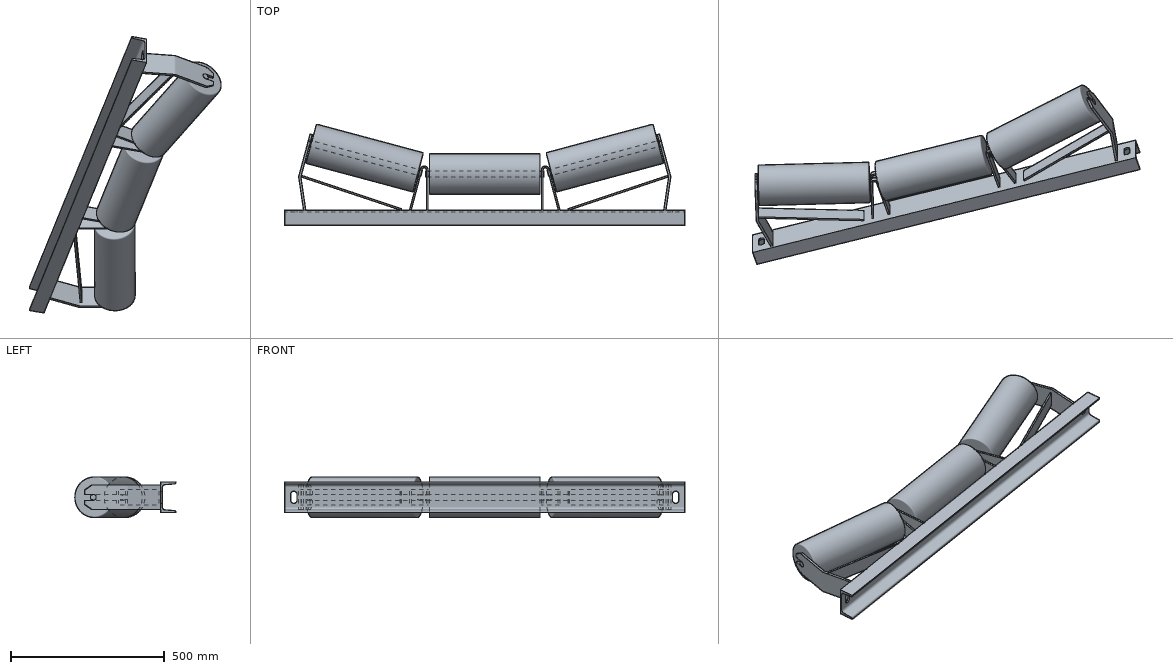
import cadquery as cq
import math


beam_length = 1300.0
beam_height = 100.0
flange_width = 50.0
web_thickness = 6.0
flange_mid_thickness = 8.5
flange_slope = 0.08
root_radius = 8.5
toe_radius = 4.5
mount_slot_length = 39.0
mount_slot_width = 20.0
mount_slot_inset = 30.0

roller_diameter = 133.0
roller_length = 360.0
roller_edge_radius = 4.0
shaft_diameter = 20.0
side_tilt = 15.0
middle_roller_y = 117.0
side_roller_x = 390.0
side_roller_y = 169.0

outer_thickness = 8.0
arch_thickness = 6.0
outer_width = 80.0
arch_width = 51.0
end_gap = 4.0
arch_bend_radius = 9.8
bend_y = 108.0
outer_bend_radius = 6.0
outer_foot_x = 585.0
tip_above_shaft = 30.0
tip_chamfer_width = 25.0
tip_chamfer_depth = 17.0

strut_thickness = 5.8
strut_width = arch_width
strut_foot_x = 272.0
strut_foot_lift = 2.0
strut_top_y = 112.0

arch_offset = roller_length / 2 + end_gap + arch_thickness / 2
outer_offset = roller_length / 2 + end_gap + outer_thickness / 2
shaft_length = roller_length + 2 * (end_gap + outer_thickness)

tilt = math.radians(side_tilt)
tilt_sin = math.sin(tilt)
tilt_cos = math.cos(tilt)


def point_on_side_axis(distance):
    """Point on the right roller's axis, measured outward from the roller's middle."""
    return (side_roller_x + distance * tilt_cos, side_roller_y + distance * tilt_sin)


def profile_plane(length):
    """YZ workplane from which an extrusion of the given length is centred on X = 0."""
    return cq.Workplane("YZ", origin=(-length / 2, 0, 0))


def plate_plane(width):
    """XY workplane from which an extrusion of the given width is centred on Z = 0."""
    return cq.Workplane("XY", origin=(0, 0, -width / 2))


def on_roller_axis(shape, side):
    """Moves a shape built along X at the origin onto a roller's axis: side -1, 0 or 1."""
    if side == 0:
        return shape.translate((0, middle_roller_y, 0))
    turned = shape.rotate((0, 0, 0), (0, 0, 1), side * side_tilt)
    return turned.translate((side * side_roller_x, side_roller_y, 0))


def make_roller(side):
    roller = profile_plane(roller_length).circle(roller_diameter / 2).extrude(roller_length)
    roller = roller.edges().fillet(roller_edge_radius)
    bore = profile_plane(roller_length).circle(shaft_diameter / 2).extrude(roller_length)
    return on_roller_axis(roller.cut(bore), side)


def make_shaft(side):
    shaft = profile_plane(shaft_length).circle(shaft_diameter / 2).extrude(shaft_length)
    return on_roller_axis(shaft, side)


def make_beam():
    half_height = beam_height / 2
    flange_run = flange_width - web_thickness
    root_thickness = flange_mid_thickness + flange_slope * flange_run / 2
    toe_thickness = flange_mid_thickness - flange_slope * flange_run / 2
    profile = [
        (0, -half_height),
        (-flange_width, -half_height),
        (-flange_width, toe_thickness - half_height),
        (-web_thickness, root_thickness - half_height),
        (-web_thickness, half_height - root_thickness),
        (-flange_width, half_height - toe_thickness),
        (-flange_width, half_height),
        (0, half_height),
    ]
    beam = profile_plane(beam_length).polyline(profile).close().extrude(beam_length)
    for z_side in (-1, 1):
        root = (0, -web_thickness, z_side * (half_height - root_thickness))
        toe = (0, -flange_width, z_side * (half_height - toe_thickness))
        for corner, radius in ((root, root_radius), (toe, toe_radius)):
            beam = beam.edges("|X").edges(cq.selectors.NearestToPointSelector(corner)).fillet(radius)
    mount_x = beam_length / 2 - mount_slot_inset
    mount_slots = (
        cq.Workplane("XZ")
        .pushPoints([(-mount_x, 0), (mount_x, 0)])
        .slot2D(mount_slot_length, mount_slot_width, 90)
        .extrude(web_thickness)
    )
    return beam.cut(mount_slots)


def make_shaft_slot(distance, depth):
    """Cutter along X for a slot with a round floor under the shaft, open towards +Y."""
    round_floor = profile_plane(depth).circle(shaft_diameter / 2).extrude(depth)
    opening = cq.Workplane("XY").box(
        depth, 2 * tip_above_shaft, shaft_diameter, centered=(True, False, True)
    )
    return round_floor.union(opening).translate((distance, 0, 0))


def make_arch_bracket():
    """Right inner bracket: a bar bent over between the middle and the right roller."""
    half_thickness = arch_thickness / 2
    axis_x, axis_y = point_on_side_axis(-arch_offset)
    tilted_foot_x = axis_x + axis_y * math.tan(tilt)
    bend_x = arch_offset + arch_bend_radius
    bend_centre_y = ((tilted_foot_x - bend_x) * tilt_cos - arch_bend_radius) / tilt_sin
    half_foot = half_thickness / tilt_cos
    top_angle = (math.pi + tilt) / 2

    def on_bend(radius, angle):
        return (bend_x + radius * math.cos(angle), bend_centre_y + radius * math.sin(angle))

    outside = arch_bend_radius + half_thickness
    inside = arch_bend_radius - half_thickness
    bracket = (
        plate_plane(arch_width)
        .moveTo(arch_offset - half_thickness, 0)
        .lineTo(*on_bend(outside, math.pi))
        .threePointArc(on_bend(outside, top_angle), on_bend(outside, tilt))
        .lineTo(tilted_foot_x + half_foot, 0)
        .lineTo(tilted_foot_x - half_foot, 0)
        .lineTo(*on_bend(inside, tilt))
        .threePointArc(on_bend(inside, top_angle), on_bend(inside, math.pi))
        .lineTo(arch_offset + half_thickness, 0)
        .close()
        .extrude(arch_width)
    )
    middle_slot = on_roller_axis(make_shaft_slot(arch_offset, 2 * arch_bend_radius), 0)
    side_slot = on_roller_axis(make_shaft_slot(-arch_offset, 2 * arch_bend_radius), 1)
    return bracket.cut(middle_slot).cut(side_slot)


def outer_bend_x():
    """X of the middle of the right outer bracket's bar at its bend."""
    axis_x, axis_y = point_on_side_axis(outer_offset)
    return axis_x + (axis_y - bend_y) * math.tan(tilt)


def make_outer_bracket():
    """Right outer bracket: a leg leaning outward, bent to stand square to the right roller."""
    bend_x = outer_bend_x()
    axis_x, axis_y = point_on_side_axis(outer_offset)
    tip_x = axis_x - tip_above_shaft * tilt_sin
    tip_y = axis_y + tip_above_shaft * tilt_cos
    half_thickness = outer_thickness / 2
    lean = math.atan2(bend_x - outer_foot_x, bend_y)
    half_foot = half_thickness / math.cos(lean)
    mitre_angle = (tilt - lean) / 2
    half_mitre = half_thickness / math.cos((tilt + lean) / 2)
    mitre_x = half_mitre * math.cos(mitre_angle)
    mitre_y = half_mitre * math.sin(mitre_angle)
    outline = [
        (outer_foot_x - half_foot, 0),
        (bend_x - mitre_x, bend_y - mitre_y),
        (tip_x - half_thickness * tilt_cos, tip_y - half_thickness * tilt_sin),
        (tip_x + half_thickness * tilt_cos, tip_y + half_thickness * tilt_sin),
        (bend_x + mitre_x, bend_y + mitre_y),
        (outer_foot_x + half_foot, 0),
    ]
    bracket = plate_plane(outer_width).polyline(outline).close().extrude(outer_width)
    for mitre_side, radius in ((-1, outer_bend_radius), (1, outer_bend_radius + outer_thickness)):
        corner = (bend_x + mitre_side * mitre_x, bend_y + mitre_side * mitre_y, 0)
        bracket = bracket.edges("|Z").edges(cq.selectors.NearestToPointSelector(corner)).fillet(radius)
    for z_side in (-1, 1):
        bracket = bracket.cut(make_tip_corner(z_side))
    return bracket.cut(on_roller_axis(make_shaft_slot(outer_offset, 2 * outer_thickness), 1))


def make_tip_corner(z_side):
    """Cutter for one sloped corner at the tip of the right outer bracket."""
    corner_z = z_side * outer_width / 2
    outline = [
        (tip_above_shaft, corner_z),
        (tip_above_shaft - tip_chamfer_width, corner_z),
        (tip_above_shaft, corner_z - z_side * tip_chamfer_depth),
    ]
    cut_depth = 2 * outer_thickness
    corner = profile_plane(cut_depth).polyline(outline).close().extrude(cut_depth)
    return on_roller_axis(corner.translate((outer_offset, 0, 0)), 1)


def make_strut():
    """Right strut: a square-ended flat bar from the outer bracket's bend down to the beam."""
    bend_x = outer_bend_x()
    run = bend_x - strut_foot_x
    climb = strut_top_y - strut_foot_lift
    strut = cq.Workplane("XY").box(
        math.hypot(run, climb), strut_thickness, strut_width, centered=(False, True, True)
    )
    strut = strut.rotate((0, 0, 0), (0, 0, 1), math.degrees(math.atan2(climb, run)))
    strut = strut.translate((strut_foot_x, strut_foot_lift, 0))
    below_beam_back = cq.Workplane("XY").box(
        beam_length, flange_width, beam_height, centered=(True, False, True)
    )
    return strut.cut(below_beam_back.translate((0, -flange_width, 0)))


def make_frame():
    """Beam with the brackets and struts of both ends welded on, as one solid."""
    right_end = [make_arch_bracket(), make_outer_bracket().union(make_strut())]
    frame = make_beam()
    for weldment in right_end:
        frame = frame.union(weldment).union(weldment.mirror("YZ"))
    return frame


sides = (-1, 0, 1)
frame = make_frame()
rollers = [make_roller(side) for side in sides]
shafts = [make_shaft(side) for side in sides]

result = cq.Compound.makeCompound([
    frame.val(),
    *[roller.val() for roller in rollers],
    *[shaft.val() for shaft in shafts],
])